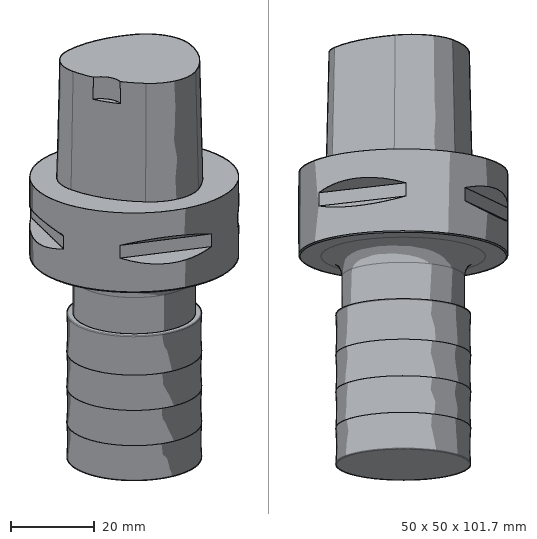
import cadquery as cq
import math

TOTAL_HEIGHT = 101.7
TAPER_LENGTH = 30.0
FLANGE_HEIGHT = 20.4
RING_PITCH = 9.0
TOP_RING_HEIGHT = 10.02
LOWER_RINGS = 3
FLANGE_TOP = TOTAL_HEIGHT - TAPER_LENGTH
FLANGE_BOTTOM = FLANGE_TOP - FLANGE_HEIGHT
NECK_BOTTOM = LOWER_RINGS * RING_PITCH + TOP_RING_HEIGHT

FLANGE_RADIUS = 50.0 / 2
NECK_RADIUS = 29.4 / 2
NECK_FILLET = 5.0
FLANGE_CHAMFER = 0.3
RING_END_RADIUS = 16.2
RING_WAIST_RADIUS = 16.0
OUTER_RIM_ROUND = 0.2

LOBE_REACH = 18.6
SIDE_REACH = 16.4
LOBE_RADIUS = 12.1
TAPER_INSET = 0.7

NOTCH_RADIUS = 4.9
NOTCH_INNER_Y = -13.9
NOTCH_DEPTH = 5.6

GROOVE_COUNT = 4
GROOVE_FIRST_ANGLE = 45.0
GROOVE_DROP = 10.0
GROOVE_DEPTH = 2.8
GROOVE_FLOOR_WIDTH = 3.3
GROOVE_MOUTH_WIDTH = 6.8


def polar(radius, angle):
    """Point at a distance from the axis, at an angle in degrees."""
    return (radius * math.cos(math.radians(angle)), radius * math.sin(math.radians(angle)))


def lobed_outline(plane, inset):
    """Three lobe arcs joined tangentially by three long side arcs, all offset inward."""
    lobe_offset = LOBE_REACH - LOBE_RADIUS
    radius_gap = SIDE_REACH - LOBE_RADIUS
    side_offset = (lobe_offset**2 - radius_gap**2) / (2 * radius_gap - lobe_offset)
    side_radius = side_offset + SIDE_REACH

    joint_angle = math.atan2(
        lobe_offset * math.sin(math.radians(60)),
        lobe_offset * math.cos(math.radians(60)) + side_offset,
    )
    joint_across = (side_radius - inset) * math.sin(joint_angle)
    joint_along = (side_radius - inset) * math.cos(joint_angle) - side_offset
    joint_reach = math.hypot(joint_across, joint_along)
    joint_turn = math.degrees(math.atan2(joint_across, joint_along))

    outline = plane.moveTo(*polar(joint_reach, -90 - joint_turn))
    for side_angle in (-90, 30, 150):
        lobe_angle = side_angle + 60
        next_side_angle = side_angle + 120
        outline = outline.threePointArc(
            polar(SIDE_REACH - inset, side_angle),
            polar(joint_reach, side_angle + joint_turn),
        ).threePointArc(
            polar(LOBE_REACH - inset, lobe_angle),
            polar(joint_reach, next_side_angle - joint_turn),
        )
    return outline.close()


def make_shank():
    base = lobed_outline(cq.Workplane("XY").workplane(offset=FLANGE_TOP), 0)
    top_plane = base.workplane(offset=TAPER_LENGTH)
    shank = lobed_outline(top_plane, TAPER_INSET).loft(ruled=True)
    notch = (
        cq.Workplane("XY")
        .workplane(offset=TOTAL_HEIGHT - NOTCH_DEPTH)
        .center(0, NOTCH_INNER_Y - NOTCH_RADIUS)
        .circle(NOTCH_RADIUS)
        .extrude(NOTCH_DEPTH)
    )
    return shank.cut(notch)


def make_flange_and_neck():
    """Revolved flange and neck with a concave fillet between them."""
    fillet_centre = (NECK_RADIUS + NECK_FILLET, FLANGE_BOTTOM - NECK_FILLET)
    fillet_step = NECK_FILLET * math.cos(math.radians(45))
    fillet_middle = (fillet_centre[0] - fillet_step, fillet_centre[1] + fillet_step)
    return (
        cq.Workplane("XZ")
        .moveTo(0, NECK_BOTTOM)
        .lineTo(NECK_RADIUS, NECK_BOTTOM)
        .lineTo(NECK_RADIUS, fillet_centre[1])
        .threePointArc(fillet_middle, (fillet_centre[0], FLANGE_BOTTOM))
        .lineTo(FLANGE_RADIUS - FLANGE_CHAMFER, FLANGE_BOTTOM)
        .lineTo(FLANGE_RADIUS, FLANGE_BOTTOM + FLANGE_CHAMFER)
        .lineTo(FLANGE_RADIUS, FLANGE_TOP)
        .lineTo(0, FLANGE_TOP)
        .close()
        .revolve(360, (0, 0), (0, 1))
    )


def make_gripper_groove(angle):
    """Straight groove cutter with a flat floor and flared walls."""
    groove_z = FLANGE_TOP - GROOVE_DROP
    floor_x = FLANGE_RADIUS - GROOVE_DEPTH
    return (
        cq.Workplane("XZ")
        .moveTo(floor_x, groove_z - GROOVE_FLOOR_WIDTH / 2)
        .lineTo(FLANGE_RADIUS, groove_z - GROOVE_MOUTH_WIDTH / 2)
        .lineTo(FLANGE_RADIUS, groove_z + GROOVE_MOUTH_WIDTH / 2)
        .lineTo(floor_x, groove_z + GROOVE_FLOOR_WIDTH / 2)
        .close()
        .extrude(FLANGE_RADIUS, both=True)
        .rotate((0, 0, 0), (0, 0, 1), angle)
    )


def make_holder():
    holder = make_flange_and_neck().union(make_shank())
    for index in range(GROOVE_COUNT):
        angle = GROOVE_FIRST_ANGLE + index * 360 / GROOVE_COUNT
        holder = holder.cut(make_gripper_groove(angle))
    return holder


def make_cutting_ring(bottom, height):
    """Solid disc of the cutting section, its rim slightly waisted at mid height."""
    top = bottom + height
    return (
        cq.Workplane("XZ")
        .moveTo(0, bottom)
        .lineTo(RING_END_RADIUS, bottom)
        .threePointArc((RING_WAIST_RADIUS, bottom + height / 2), (RING_END_RADIUS, top))
        .lineTo(0, top)
        .close()
        .revolve(360, (0, 0), (0, 1))
    )


holder = make_holder()

cutting_rings = []
ring_bottom = 0.0
for ring_height in [RING_PITCH] * LOWER_RINGS + [TOP_RING_HEIGHT]:
    cutting_rings.append(make_cutting_ring(ring_bottom, ring_height))
    ring_bottom += ring_height
cutting_rings[0] = cutting_rings[0].faces("<Z").edges().fillet(OUTER_RIM_ROUND)
cutting_rings[-1] = cutting_rings[-1].faces(">Z").edges().fillet(OUTER_RIM_ROUND)

result = cq.Compound.makeCompound([holder.val(), *[ring.val() for ring in cutting_rings]])